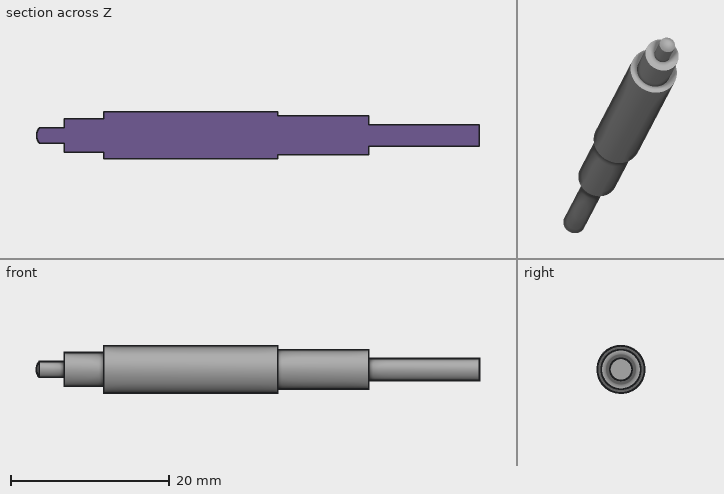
import cadquery as cq

total_length = 56.0
plunger_length = 3.5
neck_length = 5.0
body_length = 22.0
rear_length = 11.5
cable_length = total_length - plunger_length - neck_length - body_length - rear_length

plunger_diameter = 2.0
neck_diameter = 4.3
body_diameter = 6.0
rear_diameter = 5.0
cable_diameter = 2.8
dome_height = 0.4


def cylinder_along_x(start, length, diameter):
    """Solid cylinder on the X axis, from start toward +X."""
    return cq.Workplane("YZ", origin=(start, 0, 0)).circle(diameter / 2).extrude(length)


def domed_tip(start, height, diameter):
    """Spherical cap that bulges toward -X, with its apex at start."""
    base_radius = diameter / 2
    sphere_radius = (base_radius**2 + height**2) / (2 * height)
    sphere = cq.Workplane("XY").sphere(sphere_radius).translate((start + sphere_radius, 0, 0))
    return sphere.intersect(cylinder_along_x(start, height, diameter))


front = -total_length / 2
result = domed_tip(front, dome_height, plunger_diameter)

sections = [
    (plunger_length - dome_height, plunger_diameter),
    (neck_length, neck_diameter),
    (body_length, body_diameter),
    (rear_length, rear_diameter),
    (cable_length, cable_diameter),
]
section_start = front + dome_height
for section_length, section_diameter in sections:
    result = result.union(cylinder_along_x(section_start, section_length, section_diameter))
    section_start += section_length